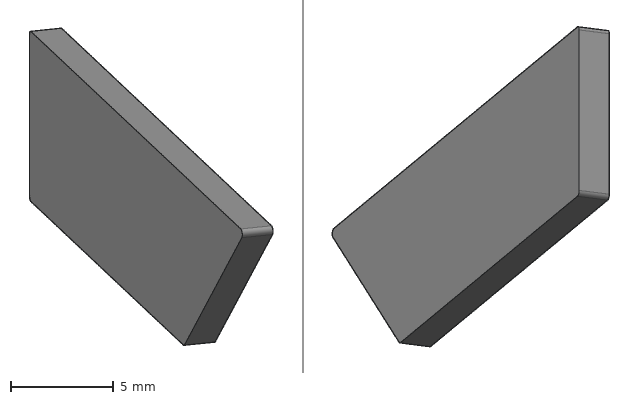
import math

import cadquery as cq

length = 33.0
thickness = 1.6
height = 8.75
tip_angle = math.radians(43.0)
corner_radius = 0.23

tip_tangent_length = corner_radius / math.tan(tip_angle / 2)
sharp_tip_x = length - corner_radius + tip_tangent_length
bottom_length = sharp_tip_x - height / math.tan(tip_angle)

outline = [
    (0, 0),
    (bottom_length, 0),
    (sharp_tip_x, height),
    (0, height),
]

blade = cq.Workplane("XZ").polyline(outline).close().extrude(thickness / 2, both=True)

result = blade.edges("|Y").fillet(corner_radius)